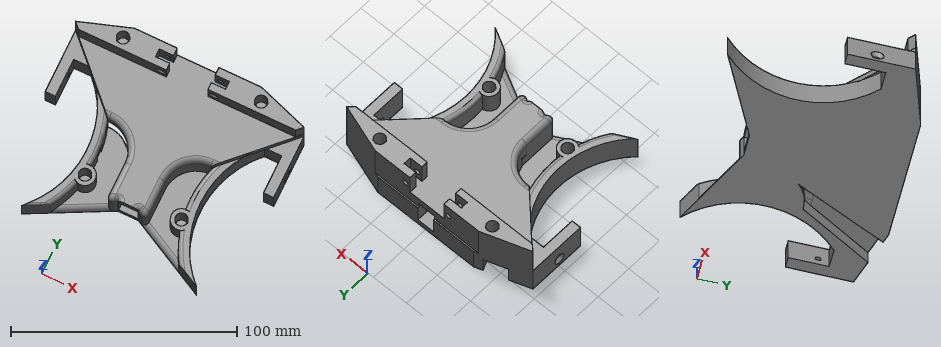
import cadquery as cq
import math

half_width = 56.1
length = 91.8
height = 30.7

floor_top = 3.0
wall_top = 15.0
plate_top = 19.0
lip_top = 12.7

rear_step = 0.8
rear_half_width = 31.2
shoulder_y = -9.2
rear_slope = (-rear_step - shoulder_y) / (half_width - rear_half_width)
lip_half_width = rear_half_width - rear_step / rear_slope

arm_thickness = 5.0
arm_end_y = -40.3
arm_root_y = -21.5
arm_screw_y = -26.6
arm_screw_z = 4.8
arm_screw_diameter = 2.6
arm_sink_diameter = 6.0

side_center_x = -77.0
side_center_y = -56.4
side_radius = 49.0
side_wall = 5.0
inner_radius = side_radius + side_wall
side_wall_fillet = 2.0
tip_fillet = 1.0
tip_wall_y = -85.8

nose_y = -72.1
nose_half_width = 5.0
dish_floor_radius = 0.2

tunnel_half_width = 4.7
tunnel_wall_x = -9.9
pocket_radius = 15.0
pocket_rear_y = -39.9
pocket_center_x = tunnel_wall_x - pocket_radius
pocket_center_y = pocket_rear_y - pocket_radius
opening_fillet = 2.9
upright_fillet = 2.0

hole_diameter = 6.0
post_diameter = 10.0
post_x = -23.7
post_y = -67.0
rail_front_y = -12.0
rail_end_x = -10.2
rail_hole_x = -33.9
rail_hole_y = -6.8
rail_slot_end_x = -17.2
rail_slot_rear_y = -4.6
rail_slot_width = 3.9
rail_screw_x = -12.9
rail_screw_z = 23.9
rail_screw_diameter = 3.0
rail_sink_diameter = 5.0

channel_top = 8.8
channel_mouth_x = -13.7
channel_mouth_fillet = 4.0
channel_exit_inner_y = -1.5
channel_exit_outer_y = -5.4
recess_rear_y = -51.6

overlap = 1.1


def arc_x(radius, y):
    """X on a circle about the side wall center, on the side toward the middle of the part."""
    return side_center_x + math.sqrt(radius**2 - (y - side_center_y) ** 2)


def rear_point(y):
    """Point on the slanted rear face of the -X half."""
    return -half_width + (y - shoulder_y) / rear_slope, y


tip = (arc_x(side_radius, -length), -length)
front_slope = (nose_y + length) / (-nose_half_width - tip[0])


def front_y(x):
    """Y on the slanted front face of the -X half."""
    return nose_y + front_slope * (x + nose_half_width)


pocket_corner = (arc_x(inner_radius, pocket_rear_y), pocket_rear_y)
pocket_bend = (
    pocket_center_x + pocket_radius * math.sqrt(0.5),
    pocket_center_y + pocket_radius * math.sqrt(0.5),
)
channel_mouth = (
    channel_mouth_x,
    pocket_center_y + math.sqrt(pocket_radius**2 - (channel_mouth_x - pocket_center_x) ** 2),
)
wall_corner = (tunnel_wall_x, front_y(tunnel_wall_x))


def prism(sketch, bottom, top):
    return sketch.close().extrude(top - bottom).translate((0, 0, bottom))


def box(x_range, y_range, z_range):
    size = [high - low for low, high in (x_range, y_range, z_range)]
    return cq.Workplane("XY").box(*size, centered=False).translate((x_range[0], y_range[0], z_range[0]))


def cylinder(x, y, diameter, bottom, top):
    return cq.Workplane("XY", origin=(x, y, bottom)).circle(diameter / 2).extrude(top - bottom)


def countersunk_hole(start, direction, diameter, sink_diameter, depth):
    """Cutter for a through hole with a 90 degree countersink at its start."""
    origin = cq.Vector(*start)
    axis = cq.Vector(*direction)
    hole = cq.Solid.makeCylinder(diameter / 2, depth, origin, axis)
    sink_depth = (sink_diameter - diameter) / 2
    sink = cq.Solid.makeCone(sink_diameter / 2, diameter / 2, sink_depth, origin, axis)
    return cq.Workplane(hole.fuse(sink))


def base_half():
    """Lower body with its side arm, side wall and front wing."""
    outline = (
        cq.Workplane("XY")
        .moveTo(0, -rear_step)
        .lineTo(-rear_half_width, -rear_step)
        .lineTo(-half_width, shoulder_y)
        .lineTo(-half_width, arm_end_y)
        .lineTo(-half_width + arm_thickness, arm_end_y)
        .lineTo(-half_width + arm_thickness, arm_root_y)
        .lineTo(arc_x(side_radius, arm_root_y), arm_root_y)
        .threePointArc((side_center_x + side_radius, side_center_y), tip)
        .lineTo(0, front_y(0))
    )
    return prism(outline, 0, wall_top)


def lip_half():
    outline = (
        cq.Workplane("XY")
        .moveTo(0, 0)
        .lineTo(-lip_half_width, 0)
        .lineTo(-rear_half_width, -rear_step)
        .lineTo(0, -rear_step)
    )
    return prism(outline, 0, lip_top)


def plate_half():
    """Top plate, ending on the rear and inner walls of the pocket."""
    outline = (
        cq.Workplane("XY")
        .moveTo(0, -rear_step)
        .lineTo(-rear_half_width, -rear_step)
        .lineTo(-half_width, shoulder_y)
        .lineTo(*pocket_corner)
        .lineTo(pocket_center_x, pocket_rear_y)
        .threePointArc(pocket_bend, (tunnel_wall_x, pocket_center_y))
        .lineTo(*wall_corner)
        .lineTo(0, front_y(0))
    )
    return prism(outline, wall_top, plate_top)


def pocket():
    beyond_front = -length - overlap
    outline = (
        cq.Workplane("XY")
        .moveTo(*pocket_corner)
        .lineTo(pocket_center_x, pocket_rear_y)
        .threePointArc(pocket_bend, (tunnel_wall_x, pocket_center_y))
        .lineTo(tunnel_wall_x, beyond_front)
        .lineTo(arc_x(inner_radius, beyond_front), beyond_front)
        .threePointArc((side_center_x + inner_radius, side_center_y), pocket_corner)
    )
    return prism(outline, floor_top, wall_top)


def edges_near(body, points):
    return body.newObject([body.edges(cq.selectors.NearestToPointSelector(p)).val() for p in points])


def round_edges(body):
    """Round the pocket opening, the top front edge and the inner top edge of the side wall."""
    wing_x = (tunnel_wall_x + post_x) / 2
    cheek_x = tunnel_wall_x / 2
    wall_y = (pocket_center_y + wall_corner[1]) / 2
    upright_edge = (*wall_corner, (floor_top + plate_top) / 2)
    plate_edges = [
        (*pocket_bend, plate_top),
        (tunnel_wall_x, wall_y, plate_top),
        (cheek_x, front_y(cheek_x), plate_top),
    ]
    floor_edge = (wing_x, front_y(wing_x), floor_top)
    body = edges_near(body, [upright_edge]).fillet(upright_fillet)
    body = edges_near(body, plate_edges).fillet(opening_fillet)
    body = edges_near(body, [floor_edge]).fillet(opening_fillet)
    side_wall_edge = (side_center_x + inner_radius, side_center_y, wall_top)
    return edges_near(body, [side_wall_edge]).fillet(side_wall_fillet)


def nose_half():
    """Flat nose between the slanted faces, with the rounded top edge swept around its corner."""
    slope_angle = math.atan(front_slope)
    depth = 2.5 * opening_fillet
    fillet_end = (
        -nose_half_width - opening_fillet * math.sin(slope_angle),
        nose_y + opening_fillet * math.cos(slope_angle),
    )
    outline = (
        cq.Workplane("XY")
        .moveTo(-nose_half_width, nose_y)
        .lineTo(*fillet_end)
        .lineTo(fillet_end[0], nose_y + depth)
        .lineTo(0, nose_y + depth)
        .lineTo(0, nose_y)
    )
    dish_drop = math.sqrt(opening_fillet**2 - (opening_fillet - dish_floor_radius) ** 2)
    dish_floor = plate_top - opening_fillet + dish_drop
    dish = (
        cq.Workplane("XZ")
        .moveTo(0, plate_top)
        .lineTo(opening_fillet, plate_top)
        .radiusArc((dish_floor_radius, dish_floor), -opening_fillet)
        .lineTo(0, dish_floor)
        .close()
        .revolve(360, (0, 0, 0), (0, 1, 0))
        .translate((-nose_half_width, nose_y, 0))
    )
    return prism(outline, 0, plate_top).cut(dish)


def rail():
    outline = (
        cq.Workplane("XY")
        .moveTo(rail_end_x, -rear_step)
        .lineTo(-rear_half_width, -rear_step)
        .lineTo(-half_width, shoulder_y)
        .lineTo(-half_width + shoulder_y - rail_front_y, rail_front_y)
        .lineTo(rail_end_x, rail_front_y)
    )
    body = prism(outline, plate_top, height)
    slot_y = (rail_slot_rear_y - rail_slot_width, rail_slot_rear_y)
    body = body.cut(box((rail_slot_end_x, rail_end_x), slot_y, (plate_top, height)))
    body = body.cut(cylinder(rail_hole_x, rail_hole_y, hole_diameter, plate_top, height))
    screw = countersunk_hole(
        (rail_screw_x, rail_front_y, rail_screw_z), (0, 1, 0),
        rail_screw_diameter, rail_sink_diameter, -rail_front_y,
    )
    return body.cut(screw)


def half_body():
    body = base_half().union(plate_half()).cut(pocket())
    body = round_edges(body)
    body = body.union(nose_half()).union(lip_half()).union(rail())
    body = body.union(cylinder(post_x, post_y, post_diameter, floor_top, wall_top))
    body = body.cut(cylinder(post_x, post_y, hole_diameter, floor_top, wall_top))
    body = body.cut(box((-tunnel_half_width, 0), (nose_y, 0), (floor_top, wall_top)))
    screw = countersunk_hole(
        (-half_width, arm_screw_y, arm_screw_z), (1, 0, 0),
        arm_screw_diameter, arm_sink_diameter, arm_thickness,
    )
    return body.cut(screw)


def cut_cable_channel(body):
    """Passage from the rear wall of the pocket to the slanted rear face, rounded above its mouth."""
    mouth_middle_x = (channel_mouth[0] + pocket_center_x) / 2
    mouth_middle = (
        mouth_middle_x,
        pocket_center_y + math.sqrt(pocket_radius**2 - (mouth_middle_x - pocket_center_x) ** 2),
    )
    outline = (
        cq.Workplane("XY")
        .moveTo(*channel_mouth)
        .lineTo(*rear_point(channel_exit_inner_y))
        .lineTo(*rear_point(channel_exit_outer_y))
        .lineTo(*pocket_corner)
        .lineTo(pocket_center_x, pocket_rear_y)
        .threePointArc(mouth_middle, channel_mouth)
    )
    body = body.cut(prism(outline, 0, channel_top))
    mouth_edge = (*mouth_middle, channel_top)
    return edges_near(body, [mouth_edge]).fillet(channel_mouth_fillet)


def cut_wall_recess(body):
    """Low recess that carries the flat tunnel wall on into the curved wall of the -X pocket."""
    x_range = (pocket_center_x, tunnel_wall_x)
    y_range = (pocket_center_y - overlap, recess_rear_y)
    return body.cut(box(x_range, y_range, (floor_top, channel_top)))


def round_tip(body):
    """Small rounding of the top edge at the -X wing tip."""
    wall_end = (arc_x(inner_radius, tip_wall_y), tip_wall_y)
    tip_edge = ((tip[0] + wall_end[0]) / 2, (tip[1] + wall_end[1]) / 2, wall_top)
    return edges_near(body, [tip_edge]).fillet(tip_fillet)


half = half_body()
result = half.union(half.mirror("YZ"))
result = cut_wall_recess(result)
result = cut_cable_channel(result)
result = round_tip(result)